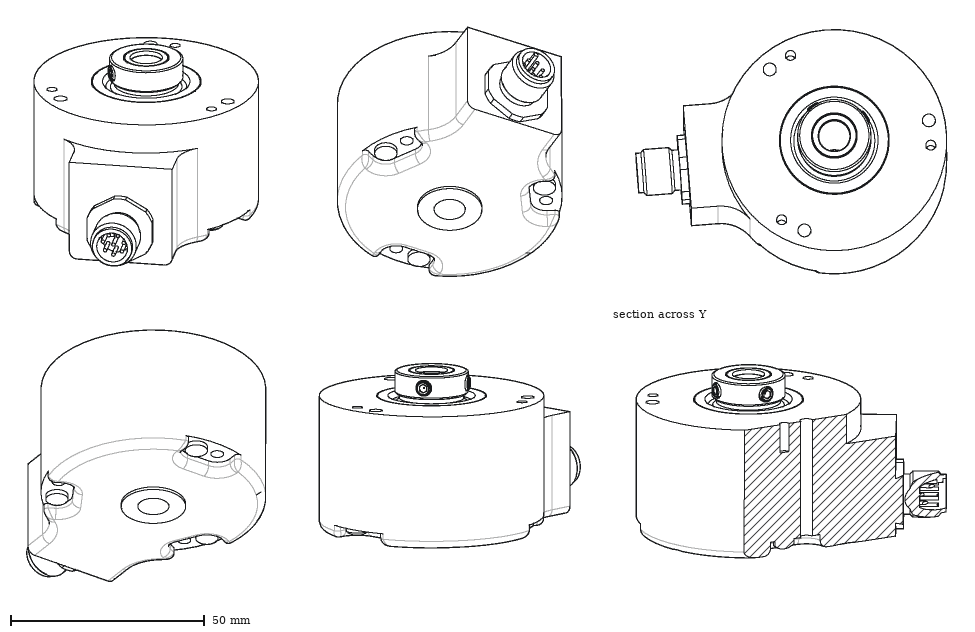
import cadquery as cq
import math

body_radius = 29.0
body_height = 34.85
base_fillet = 2.1

block_angle = -30.0
block_reach = 38.0
block_half_width = 13.5
block_height = 27.0
block_blend_radius = 10.0

hole_circle_radius = 24.9
hole_offset_angle = 7.5
through_hole_radius = 1.7
blind_hole_radius = 1.3
blind_hole_depth = 7.6

pocket_angles = (-90.0, 30.0, 150.0)
pocket_height = 3.55
pocket_corner_radius = 4.0
pocket_mouth_fillet = 1.0
screw_head_radius = 2.9
screw_head_rim_z = 2.35
screw_head_crown_z = 1.2

shaft_radius = 8.3
shaft_bottom_z = -0.75
shaft_flare_radius = 9.25
shaft_flare_top = 0.6
bore_radius = 4.0
bore_mouth_radius = 4.2
bore_mouth_depth = 1.1
recess_depth = 1.5
recess_top_radius = 11.3
recess_floor_radius = 10.45
ring_groove_radius = 13.95
ring_groove_width = 0.2
ring_groove_depth = 0.45

collar_gap = 0.6
collar_height = 6.05
collar_radius = 9.5
collar_chamfer = 0.5
collar_top_chamfer_height = 0.3
collar_seam_radius = 5.6
collar_seam_width = 0.3
collar_seam_depth = 0.45

set_screw_angles = (180.0, -90.0)
set_screw_radius = 1.75
set_screw_chamfer = 0.2
set_screw_tip = 10.0
set_screw_seat_radius = 2.05
set_screw_seat_floor = 8.8
set_screw_socket = 2.3
set_screw_socket_depth = 0.3
set_screw_cone_radius = 1.0
set_screw_cone_depth = 1.4

connector_z = 9.5
nut_across_flats = 17.0
nut_corner_radius = 9.0
nut_thickness = 2.0
neck_radius = 5.2
neck_end = 3.6
barrel_radius = 6.0
barrel_start = 4.4
barrel_end = 10.9
tip_start = 11.7
tip_radius = 5.15
connector_length = 12.95
socket_radius = 4.0
socket_depth = 6.8
key_width = 1.0
key_height = 1.0
key_setback = 0.2
pin_radius = 0.45
pin_circle_radius = 2.8
pin_count = 7
pin_setback = 2.0

collar_bottom_z = body_height + collar_gap
collar_top_z = collar_bottom_z + collar_height
collar_mid_z = collar_bottom_z + collar_height / 2
recess_floor_z = body_height - recess_depth
overlap = 0.75
tolerance = 0.01


def polar(radius, angle):
    """Point at a radius and an angle in degrees."""
    return (radius * math.cos(math.radians(angle)), radius * math.sin(math.radians(angle)))


def cylinder(radius, z_bottom, z_top):
    return cq.Workplane("XY").workplane(offset=z_bottom).circle(radius).extrude(z_top - z_bottom)


def ring(inner_radius, width, z_bottom, z_top):
    outer = cylinder(inner_radius + width, z_bottom, z_top)
    return outer.cut(cylinder(inner_radius, z_bottom, z_top))


def turned(profile):
    """Solid of revolution about Z from (radius, z) points."""
    return cq.Workplane("XZ").polyline(profile).close().revolve(360, (0, 0, 0), (0, 1, 0))


def along_x(solid):
    """Turn a solid built along +Z so that it points along +X."""
    return solid.rotate((0, 0, 0), (0, 1, 0), 90)


def about_z(solid, angle):
    return solid.rotate((0, 0, 0), (0, 0, 1), angle)


def connector_block():
    """Block pointing along +X, blended into the body by tangent concave arcs."""
    blend_center_y = block_half_width + block_blend_radius
    blend_angle = math.degrees(math.asin(blend_center_y / (body_radius + block_blend_radius)))
    blend_center_x = polar(body_radius + block_blend_radius, blend_angle)[0]
    tangent_x, tangent_y = polar(body_radius, blend_angle)
    mid_angle = (blend_angle + 90) / 2
    mid_x, mid_y = polar(block_blend_radius, mid_angle)
    mid_x = blend_center_x - mid_x
    mid_y = blend_center_y - mid_y
    return (
        cq.Workplane("XY")
        .moveTo(0, 0)
        .lineTo(tangent_x, -tangent_y)
        .threePointArc((mid_x, -mid_y), (blend_center_x, -block_half_width))
        .lineTo(block_reach, -block_half_width)
        .lineTo(block_reach, block_half_width)
        .lineTo(blend_center_x, block_half_width)
        .threePointArc((mid_x, mid_y), (tangent_x, tangent_y))
        .close()
        .extrude(block_height)
    )


def screw_pocket():
    """Pocket open to +X: flat inner wall, two rounded corners, parallel sides."""
    corner_x, corner_y = polar(hole_circle_radius, hole_offset_angle)
    depth = body_radius + overlap - corner_x
    pocket = cq.Workplane("XY").box(
        pocket_corner_radius + depth,
        2 * (corner_y + pocket_corner_radius),
        pocket_height,
        centered=(False, True, False),
    )
    pocket = pocket.edges("|Z and <X").fillet(pocket_corner_radius)
    return pocket.translate((corner_x - pocket_corner_radius, 0, 0))


def is_pocket_mouth(edge):
    """True for the upright edges where a pocket side meets the outside of the body."""
    middle = edge.Center()
    on_body = math.isclose(math.hypot(middle.x, middle.y), body_radius, abs_tol=tolerance)
    return on_body and math.isclose(middle.z, pocket_height / 2, abs_tol=tolerance)


def housing():
    solid = cylinder(body_radius, 0, body_height).union(about_z(connector_block(), block_angle))
    for angle in pocket_angles:
        solid = solid.cut(about_z(screw_pocket(), angle))
    solid = solid.edges("|Z").filter(is_pocket_mouth).fillet(pocket_mouth_fillet)
    face_middle = cq.Vector(*polar(block_reach, block_angle), 0)
    bottom_edges = solid.faces("<Z").edges()
    rounded = bottom_edges.filter(lambda edge: (edge.Center() - face_middle).Length > tolerance)
    return rounded.fillet(base_fillet)


def screw_head():
    """Domed head hanging from the pocket ceiling."""
    rim = (screw_head_radius, screw_head_rim_z)
    crown = (0, screw_head_crown_z)
    rise = screw_head_rim_z - screw_head_crown_z
    dome_radius = (screw_head_radius ** 2 + rise ** 2) / (2 * rise)
    half_angle = math.asin(screw_head_radius / dome_radius) / 2
    dome_mid = (
        dome_radius * math.sin(half_angle),
        screw_head_crown_z + dome_radius * (1 - math.cos(half_angle)),
    )
    ceiling = pocket_height + overlap
    return (
        cq.Workplane("XZ")
        .moveTo(0, ceiling)
        .lineTo(screw_head_radius, ceiling)
        .lineTo(*rim)
        .threePointArc(dome_mid, crown)
        .close()
        .revolve(360, (0, 0, 0), (0, 1, 0))
    )


def flange_recess():
    return turned([
        (0, recess_floor_z),
        (recess_floor_radius, recess_floor_z),
        (recess_top_radius, body_height),
        (0, body_height),
    ])


def shaft():
    flare_z = body_height - shaft_flare_top
    return turned([
        (0, shaft_bottom_z),
        (shaft_radius, shaft_bottom_z),
        (shaft_radius, recess_floor_z - overlap),
        (shaft_flare_radius, recess_floor_z - overlap),
        (shaft_flare_radius, recess_floor_z),
        (shaft_radius, flare_z),
        (shaft_radius, collar_bottom_z + overlap),
        (0, collar_bottom_z + overlap),
    ])


def set_screw():
    """Socket set screw pointing along +X, starting inside the collar."""
    start = set_screw_seat_floor - overlap
    screw = cylinder(set_screw_radius, start, set_screw_tip).faces(">Z").chamfer(set_screw_chamfer)
    socket = (
        cq.Workplane("XY").workplane(offset=set_screw_tip)
        .polygon(6, set_screw_socket).extrude(-set_screw_socket_depth)
    )
    cone = turned([
        (0, set_screw_tip - set_screw_cone_depth),
        (set_screw_cone_radius, set_screw_tip - set_screw_socket_depth),
        (0, set_screw_tip - set_screw_socket_depth),
    ])
    return along_x(screw.cut(socket).cut(cone)).translate((0, 0, collar_mid_z))


def collar():
    end_radius = collar_radius - collar_chamfer
    solid = turned([
        (0, collar_bottom_z),
        (end_radius, collar_bottom_z),
        (collar_radius, collar_bottom_z + collar_chamfer),
        (collar_radius, collar_top_z - collar_top_chamfer_height),
        (end_radius, collar_top_z),
        (0, collar_top_z),
    ])
    solid = solid.cut(
        ring(collar_seam_radius, collar_seam_width, collar_top_z - collar_seam_depth, collar_top_z)
    )
    seat = along_x(cylinder(set_screw_seat_radius, set_screw_seat_floor, set_screw_tip))
    seat = seat.translate((0, 0, collar_mid_z))
    for angle in set_screw_angles:
        solid = solid.cut(about_z(seat, angle)).union(about_z(set_screw(), angle))
    return solid


def shaft_bore():
    mouth = cylinder(bore_mouth_radius, collar_top_z - bore_mouth_depth, collar_top_z)
    return cylinder(bore_radius, shaft_bottom_z, collar_top_z).union(mouth)


def connector():
    """Round plug connector with a hexagonal nut, built along +Z from the block face."""
    hexagon_diameter = nut_across_flats / math.cos(math.pi / 6)
    nut = cq.Workplane("XY").polygon(6, hexagon_diameter).extrude(nut_thickness)
    nut = nut.intersect(cylinder(nut_corner_radius, 0, nut_thickness))
    plug = turned([
        (0, -overlap),
        (neck_radius, -overlap),
        (neck_radius, neck_end),
        (barrel_radius, barrel_start),
        (barrel_radius, barrel_end),
        (tip_radius, tip_start),
        (tip_radius, connector_length),
        (0, connector_length),
    ])
    socket_floor = connector_length - socket_depth
    plug = plug.union(nut).cut(cylinder(socket_radius, socket_floor, connector_length))

    key_length = socket_depth - key_setback
    key = (
        cq.Workplane("XY").workplane(offset=socket_floor)
        .center(-socket_radius, 0).rect(2 * key_height, key_width).extrude(key_length)
    )
    key = key.intersect(cylinder(neck_radius, socket_floor, connector_length))
    plug = plug.union(key)

    pin = cylinder(pin_radius, socket_floor - overlap, connector_length - pin_setback)
    plug = plug.union(pin)
    pin_step = 360 / pin_count
    for index in range(pin_count):
        plug = plug.union(about_z(pin.translate((pin_circle_radius, 0, 0)), index * pin_step))
    return about_z(along_x(plug).translate((block_reach, 0, connector_z)), block_angle)


result = housing().cut(flange_recess()).union(shaft()).union(collar())
result = result.cut(shaft_bore())
result = result.cut(
    ring(ring_groove_radius, ring_groove_width, body_height - ring_groove_depth, body_height)
)
for pocket_angle in pocket_angles:
    through_x, through_y = polar(hole_circle_radius, pocket_angle + hole_offset_angle)
    blind_x, blind_y = polar(hole_circle_radius, pocket_angle - hole_offset_angle)
    through_hole = cylinder(through_hole_radius, 0, body_height)
    blind_hole = cylinder(blind_hole_radius, body_height - blind_hole_depth, body_height)
    result = result.cut(through_hole.translate((through_x, through_y, 0)))
    result = result.cut(blind_hole.translate((blind_x, blind_y, 0)))
    result = result.union(screw_head().translate((blind_x, blind_y, 0)))
result = result.union(connector())